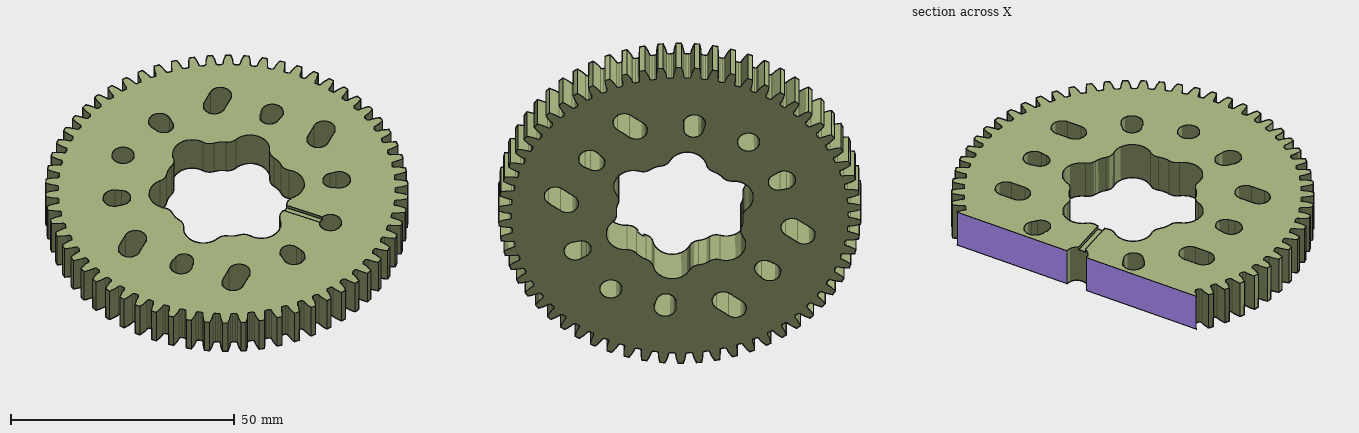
import cadquery as cq
import math

TIP_RADIUS = 40.6
TOOTH_COUNT = 62
MODULE = 2 * TIP_RADIUS / (TOOTH_COUNT + 2)
DEDENDUM_FACTOR = 1.25
PRESSURE_ANGLE = math.radians(14.5)
ROOT_FILLET = 0.5
TOOTH_THINNING = 0.06
FLANK_STEPS = 4
THICKNESS = 9.5

LOBE_COUNT = 6
LOBE_RADIUS = 4.4
LOBE_CENTER = 13.1
VALLEY_RADIUS = 5.3
VALLEY_REACH = 14.3
SHOULDER_RADIUS = 2.6

BOLT_CIRCLE_DIAMETER = 50.8
BOLT_CIRCLE_RADIUS = BOLT_CIRCLE_DIAMETER / 2
BOLT_HOLE_DIAMETER = 4.95
BOLT_HOLE_RADIUS = BOLT_HOLE_DIAMETER / 2
INNER_END_RADIUS = 2.2
INNER_END_CENTER = 23.9
ROUND_HOLE_ANGLES = (0, 180)
TAPERED_SLOT_ANGLES = (30, 90, 150, 210, 270, 330)
STRAIGHT_SLOT_ANGLES = (60, 120, 240, 300)

GROOVE_WIDTH = 1.7
GROOVE_DEPTH = 0.8


def polar(radius, angle):
    return (radius * math.cos(angle), radius * math.sin(angle))


def offset_point(start, end, distance):
    """Point at the given distance from start, on the way towards end."""
    ratio = distance / math.dist(start, end)
    return (start[0] + ratio * (end[0] - start[0]), start[1] + ratio * (end[1] - start[1]))


def involute(angle):
    return math.tan(angle) - angle


def make_gear_blank():
    pitch_radius = MODULE * TOOTH_COUNT / 2
    base_radius = pitch_radius * math.cos(PRESSURE_ANGLE)
    root_radius = pitch_radius - DEDENDUM_FACTOR * MODULE
    pitch_step = 2 * math.pi / TOOTH_COUNT
    pitch_half_angle = pitch_step / 4 - TOOTH_THINNING / (2 * pitch_radius)

    def half_angle(radius):
        """Half the angle that a tooth spans at a radius on its involute flank."""
        flank_turn = involute(PRESSURE_ANGLE) - involute(math.acos(base_radius / radius))
        return pitch_half_angle + flank_turn

    fillet_center_radius = root_radius + ROOT_FILLET
    fillet_angle = math.asin(ROOT_FILLET / fillet_center_radius)
    foot_radius = fillet_center_radius * math.cos(fillet_angle)
    foot_angle = half_angle(foot_radius)

    flank_step = (TIP_RADIUS - foot_radius) / FLANK_STEPS
    flank_radii = [foot_radius + i * flank_step for i in range(FLANK_STEPS + 1)]

    def fillet_middle(tooth_angle, side):
        center = polar(fillet_center_radius, tooth_angle + side * (foot_angle + fillet_angle))
        corner = polar(root_radius, tooth_angle + side * foot_angle)
        return offset_point(center, corner, ROOT_FILLET)

    first_tooth_angle = math.pi / 2
    root_end_angle = foot_angle + fillet_angle
    outline = cq.Workplane("XY").moveTo(*polar(root_radius, first_tooth_angle - root_end_angle))
    for tooth in range(TOOTH_COUNT):
        angle = first_tooth_angle + tooth * pitch_step
        rising_flank = [polar(r, angle - half_angle(r)) for r in flank_radii]
        falling_flank = [polar(r, angle + half_angle(r)) for r in reversed(flank_radii)]
        outline = (
            outline.threePointArc(fillet_middle(angle, -1), rising_flank[0])
            .spline(rising_flank[1:], includeCurrent=True)
            .threePointArc(polar(TIP_RADIUS, angle), falling_flank[0])
            .spline(falling_flank[1:], includeCurrent=True)
            .threePointArc(fillet_middle(angle, 1), polar(root_radius, angle + root_end_angle))
            .threePointArc(
                polar(root_radius, angle + pitch_step / 2),
                polar(root_radius, angle + pitch_step - root_end_angle),
            )
        )
    return outline.close().extrude(THICKNESS)


def make_bore():
    """Lobes and shallow valleys alternate, joined by rounded shoulders tangent to both."""
    half_step = math.pi / LOBE_COUNT
    valley_center_radius = VALLEY_REACH - VALLEY_RADIUS
    to_valley = VALLEY_RADIUS + SHOULDER_RADIUS
    to_lobe = LOBE_RADIUS + SHOULDER_RADIUS

    valley_center = polar(valley_center_radius, 0)
    lobe_center = polar(LOBE_CENTER, half_step)
    spacing = math.dist(valley_center, lobe_center)
    along = (spacing**2 + to_valley**2 - to_lobe**2) / (2 * spacing)
    across = math.sqrt(to_valley**2 - along**2)
    foot = offset_point(valley_center, lobe_center, along)
    direction = math.atan2(lobe_center[1] - valley_center[1], lobe_center[0] - valley_center[0])
    shift = polar(across, direction - math.pi / 2)
    shoulder_center = (foot[0] + shift[0], foot[1] + shift[1])

    valley_end = offset_point(valley_center, shoulder_center, VALLEY_RADIUS)
    lobe_start = offset_point(lobe_center, shoulder_center, LOBE_RADIUS)
    chord_middle = ((valley_end[0] + lobe_start[0]) / 2, (valley_end[1] + lobe_start[1]) / 2)
    shoulder_middle = offset_point(shoulder_center, chord_middle, SHOULDER_RADIUS)

    def placed(point, valley_angle, side):
        """Polar copy of a point, mirrored about the valley axis when side is -1."""
        return polar(math.hypot(*point), valley_angle + side * math.atan2(point[1], point[0]))

    outline = cq.Workplane("XY").moveTo(*placed(lobe_start, 0, -1))
    for valley in range(LOBE_COUNT):
        angle = valley * 2 * half_step
        next_angle = angle + 2 * half_step
        outline = (
            outline.threePointArc(placed(shoulder_middle, angle, -1), placed(valley_end, angle, -1))
            .threePointArc(polar(VALLEY_REACH, angle), placed(valley_end, angle, 1))
            .threePointArc(placed(shoulder_middle, angle, 1), placed(lobe_start, angle, 1))
            .threePointArc(
                polar(LOBE_CENTER + LOBE_RADIUS, angle + half_step),
                placed(lobe_start, next_angle, -1),
            )
        )
    return outline.close().extrude(THICKNESS)


def make_round_holes():
    centers = [polar(BOLT_CIRCLE_RADIUS, math.radians(a)) for a in ROUND_HOLE_ANGLES]
    return cq.Workplane("XY").pushPoints(centers).circle(BOLT_HOLE_RADIUS).extrude(THICKNESS)


def make_straight_slots():
    """Slots along Y, each from a point on the bolt circle out to |Y| = bolt circle radius."""
    slots = cq.Workplane("XY")
    for angle in STRAIGHT_SLOT_ANGLES:
        x, inner_y = polar(BOLT_CIRCLE_RADIUS, math.radians(angle))
        outer_y = math.copysign(BOLT_CIRCLE_RADIUS, inner_y)
        length = abs(outer_y - inner_y) + BOLT_HOLE_DIAMETER
        slot = (
            cq.Workplane("XY")
            .center(x, (inner_y + outer_y) / 2)
            .slot2D(length, BOLT_HOLE_DIAMETER, 90)
            .extrude(THICKNESS)
        )
        slots = slots.add(slot)
    return slots.combine()


def make_tapered_slots():
    """Radial slots whose inner end is narrower, with sides tangent to both ends."""
    center_gap = BOLT_CIRCLE_RADIUS - INNER_END_CENTER
    tangent_angle = math.acos((BOLT_HOLE_RADIUS - INNER_END_RADIUS) / center_gap)
    unit_x, unit_y = -math.cos(tangent_angle), math.sin(tangent_angle)
    outer_x = BOLT_CIRCLE_RADIUS + BOLT_HOLE_RADIUS * unit_x
    outer_y = BOLT_HOLE_RADIUS * unit_y
    inner_x = INNER_END_CENTER + INNER_END_RADIUS * unit_x
    inner_y = INNER_END_RADIUS * unit_y
    slot = (
        cq.Workplane("XY")
        .moveTo(outer_x, -outer_y)
        .threePointArc((BOLT_CIRCLE_RADIUS + BOLT_HOLE_RADIUS, 0), (outer_x, outer_y))
        .lineTo(inner_x, inner_y)
        .threePointArc((INNER_END_CENTER - INNER_END_RADIUS, 0), (inner_x, -inner_y))
        .close()
        .extrude(THICKNESS)
    )
    slots = cq.Workplane("XY")
    for angle in TAPERED_SLOT_ANGLES:
        slots = slots.add(slot.rotate((0, 0, 0), (0, 0, 1), angle))
    return slots.combine()


def make_groove():
    """Groove from the bore to the round hole on the +X side."""
    return cq.Workplane("XY").box(
        BOLT_CIRCLE_RADIUS, GROOVE_WIDTH, GROOVE_DEPTH, centered=(False, True, False)
    ).translate((0, 0, THICKNESS - GROOVE_DEPTH))


result = (
    make_gear_blank()
    .cut(make_bore())
    .cut(make_round_holes())
    .cut(make_straight_slots())
    .cut(make_tapered_slots())
    .cut(make_groove())
    .translate((0, 0, -THICKNESS / 2))
)